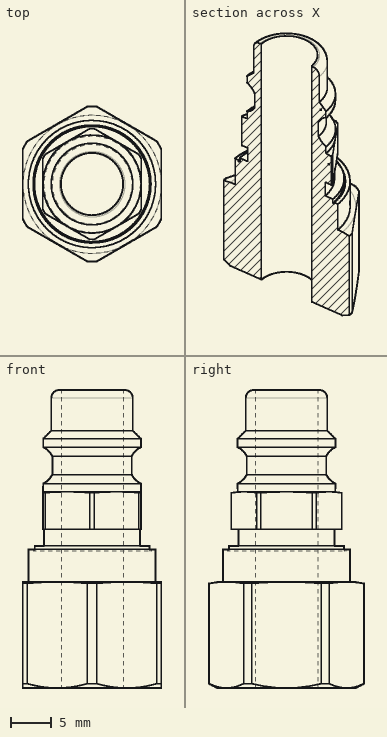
import cadquery as cq

total_height = 36.5
nut_top = 13.0
sleeve_top = 16.97
lip_top = 17.4
small_hex_bottom = 19.4
small_hex_top = 24.0
shoulder_rim_top = 25.05
shoulder_top = 26.15
collar_bottom = 28.4
collar_rim_bottom = 29.5
collar_rim_top = 30.5
collar_top = 31.5

bore_diameter = 7.6
plug_diameter = 10.0
neck_diameter = 9.75
collar_diameter = 12.0
stem_diameter = 11.8
lip_diameter = 14.1
sleeve_diameter = 15.6
tip_fillet = 1.0

neck_flare_radius = 2.5

nut_across_flats = 17.0
nut_across_corners = 19.0
small_hex_across_flats = collar_diameter
small_hex_across_corners = 13.55
small_hex_chamfer_height = 0.1
nut_face_diameter = 16.95
nut_top_chamfer_height = 0.2
nut_bottom_chamfer_height = 0.55

gap_outer_diameter = 14.45
gap_depth = 0.2


def cylinder(diameter, bottom, top):
    return cq.Workplane("XY").workplane(offset=bottom).circle(diameter / 2).extrude(top - bottom)


def revolve_profile(points):
    return cq.Workplane("XZ").polyline(points).close().revolve(360, (0, 0, 0), (0, 1, 0))


def hexagon(across_flats, bottom, top):
    """Hexagonal prism with its flats facing +X and -X."""
    return (
        cq.Workplane("XY")
        .workplane(offset=bottom)
        .polygon(6, across_flats, circumscribed=True)
        .extrude(top - bottom)
    )


def make_nut():
    face_radius = nut_face_diameter / 2
    corner_radius = nut_across_corners / 2
    turned_envelope = revolve_profile([
        (0, 0),
        (face_radius, 0),
        (corner_radius, nut_bottom_chamfer_height),
        (corner_radius, nut_top - nut_top_chamfer_height),
        (face_radius, nut_top),
        (0, nut_top),
    ])
    return hexagon(nut_across_flats, 0, nut_top).intersect(turned_envelope)


def make_sleeve():
    sleeve = cylinder(sleeve_diameter, nut_top, sleeve_top)
    gap = cylinder(gap_outer_diameter, sleeve_top - gap_depth, sleeve_top)
    lip = cylinder(lip_diameter, sleeve_top - gap_depth, lip_top)
    return sleeve.cut(gap).union(lip)


def make_small_hex():
    face_radius = small_hex_across_flats / 2
    corner_radius = small_hex_across_corners / 2
    turned_envelope = revolve_profile([
        (0, small_hex_bottom),
        (corner_radius, small_hex_bottom),
        (corner_radius, small_hex_top - small_hex_chamfer_height),
        (face_radius, small_hex_top),
        (0, small_hex_top),
    ])
    return hexagon(small_hex_across_flats, small_hex_bottom, small_hex_top).intersect(turned_envelope)


def make_plug():
    """Stem, shoulder, neck, locking collar and rounded tip as one turned body."""
    stem_radius = stem_diameter / 2
    collar_radius = collar_diameter / 2
    neck_radius = neck_diameter / 2
    plug_radius = plug_diameter / 2
    plug = (
        cq.Workplane("XZ")
        .moveTo(0, sleeve_top)
        .lineTo(stem_radius, sleeve_top)
        .lineTo(stem_radius, small_hex_top)
        .lineTo(collar_radius, small_hex_top)
        .lineTo(collar_radius, shoulder_rim_top)
        .radiusArc((neck_radius, shoulder_top), neck_flare_radius)
        .lineTo(neck_radius, collar_bottom)
        .radiusArc((collar_radius, collar_rim_bottom), neck_flare_radius)
        .lineTo(collar_radius, collar_rim_top)
        .lineTo(plug_radius, collar_top)
        .lineTo(plug_radius, total_height)
        .lineTo(0, total_height)
        .close()
        .revolve(360, (0, 0, 0), (0, 1, 0))
    )
    return plug.faces(">Z").edges().fillet(tip_fillet)


body = make_nut().union(make_sleeve()).union(make_small_hex()).union(make_plug())
result = body.cut(cylinder(bore_diameter, 0, total_height))